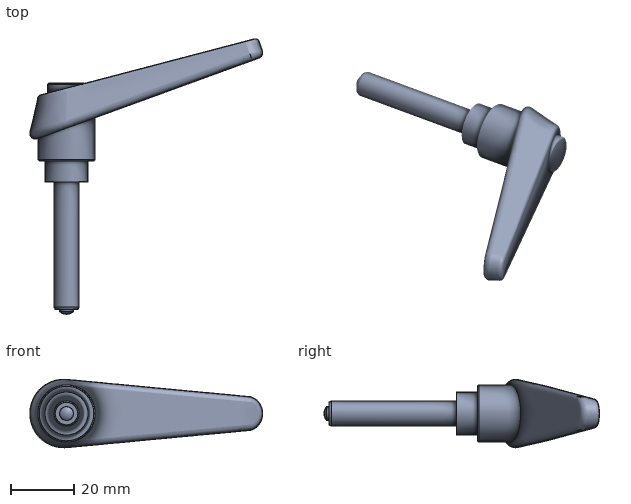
import cadquery as cq
import math


hub_radius = 9.0
hub_chamfer = 0.4
head_radius_at_base = 13.6
draft = 0.23
tip_narrowing = 0.6
tip_start_at_base = 69.6
tip_lean = 0.35
tip_length = 4.25
under_height = 10.3
under_angle = 20.0
upper_height = 22.9
upper_angle = 14.7
under_fillet = 1.8
upper_fillet = 1.2

button_radius = 6.0
button_top = 24.5
button_chamfer = 0.4
collar_radius = 6.8
collar_length = 6.6
rod_radius = 4.0
rod_end = -46.8
rod_end_radius = 3.6
rod_chamfer_length = 0.8
nose_radius = 2.2
nose_straight_length = 0.7
nose_dome_height = 0.9

blank_bottom = 3.5
blank_top = 39.9
slab_reach = 86.8


def lever_section(y):
    """Closed outline of the drafted lever at height y."""
    head_radius = head_radius_at_base - draft * y
    tip_half_width = head_radius - tip_narrowing
    tip_start = tip_start_at_base - tip_lean * y
    outline = (
        cq.Workplane("XZ", origin=(0, y, 0))
        .moveTo(0, head_radius)
        .lineTo(tip_start, tip_half_width)
        .threePointArc((tip_start + tip_length, 0), (tip_start, -tip_half_width))
        .lineTo(0, -head_radius)
        .threePointArc((-head_radius, 0), (0, head_radius))
        .close()
    )
    return outline.val()


def height_on_slope(axis_height, angle, x):
    """Y of a sloping face at the given X."""
    return axis_height + x * math.tan(math.radians(angle))


def face_direction(slope_angle, side):
    """Outward direction of a sloping face; side is 1 for the upper face, -1 for the underside."""
    slope = math.radians(slope_angle)
    return cq.Vector(-side * math.sin(slope), side * math.cos(slope), 0)


def fillet_face_edges(body, direction, radius):
    outermost = cq.selectors.DirectionMinMaxSelector(direction)
    return body.faces(outermost).edges().fillet(radius)


def make_arm():
    """Tapered arm between its two sloping faces, with rounded edges."""
    blank = cq.Solid.makeLoft([lever_section(blank_bottom), lever_section(blank_top)], True)
    slab = (
        cq.Workplane("XY")
        .polyline([
            (-slab_reach, height_on_slope(under_height, under_angle, -slab_reach)),
            (slab_reach, height_on_slope(under_height, under_angle, slab_reach)),
            (slab_reach, height_on_slope(upper_height, upper_angle, slab_reach)),
            (-slab_reach, height_on_slope(upper_height, upper_angle, -slab_reach)),
        ])
        .close()
        .extrude(slab_reach, both=True)
    )
    arm = cq.Workplane(blank).intersect(slab)
    arm = fillet_face_edges(arm, face_direction(under_angle, -1), under_fillet)
    return fillet_face_edges(arm, face_direction(upper_angle, 1), upper_fillet)


def cylinder_along_y(radius, start, end):
    return cq.Workplane("XZ", origin=(0, start, 0)).circle(radius).extrude(start - end)


def make_lever():
    """Arm joined to its hub, bored through for the insert."""
    hub_top = (under_height + upper_height) / 2
    hub = cylinder_along_y(hub_radius, 0, hub_top).faces("<Y").chamfer(hub_chamfer)
    bore = cylinder_along_y(button_radius, 0, blank_top)
    return make_arm().union(hub).cut(bore)


def make_insert():
    """Turned insert: button, shoulder collar, rod and domed nose."""
    nose_side_end = rod_end - nose_straight_length
    nose_end = nose_side_end - nose_dome_height
    dome_radius = (nose_radius**2 + nose_dome_height**2) / (2 * nose_dome_height)
    mid_angle = math.asin(nose_radius / dome_radius) / 2
    dome_mid = (
        dome_radius * math.sin(mid_angle),
        nose_end + dome_radius * (1 - math.cos(mid_angle)),
    )
    return (
        cq.Workplane("XY")
        .moveTo(0, button_top)
        .lineTo(button_radius - button_chamfer, button_top)
        .lineTo(button_radius, button_top - button_chamfer)
        .lineTo(button_radius, 0)
        .lineTo(collar_radius, 0)
        .lineTo(collar_radius, -collar_length)
        .lineTo(rod_radius, -collar_length)
        .lineTo(rod_radius, rod_end + rod_chamfer_length)
        .lineTo(rod_end_radius, rod_end)
        .lineTo(nose_radius, rod_end)
        .lineTo(nose_radius, nose_side_end)
        .threePointArc(dome_mid, (0, nose_end))
        .close()
        .revolve(360, (0, 0, 0), (0, 1, 0))
    )


lever = make_lever()
insert = make_insert()

result = cq.Compound.makeCompound([lever.val(), insert.val()])